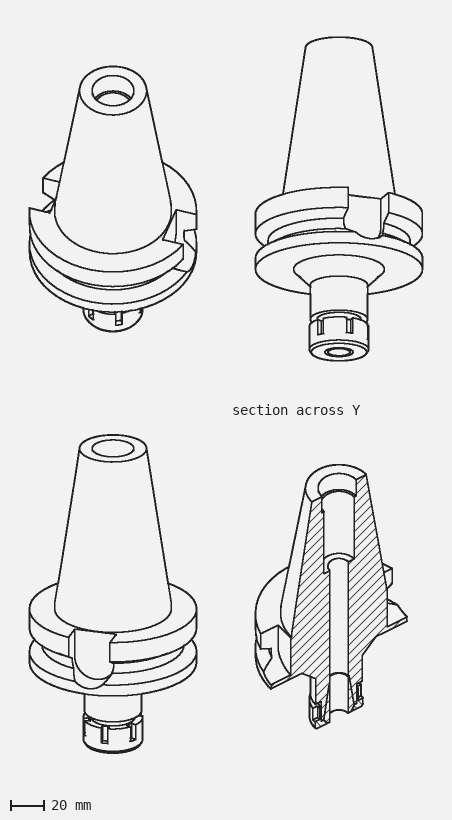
import cadquery as cq
import math

overall_height = 191.8

nut_diameter = 35.5
nut_height = 16.3
nut_chamfer_height = 1.7
nut_chamfer_width = 1.2
wrench_slot_count = 6
wrench_slot_width = 4.0
wrench_slot_height = 9.5
wrench_slot_depth = 3.5

nose_diameter = 26.3
nose_bottom = 4.5
neck_diameter = 34.3
neck_bottom = 20.7
neck_top = 42.2

flange_diameter = 100.0
flange_bottom = 52.2
flange_top = 87.0
groove_floor_diameter = 85.0
groove_bottom_edge = 59.3
groove_floor_bottom = 63.7
groove_floor_top = 70.2
groove_top_edge = 74.5

keyway_width = 25.9
keyway_bottom = 56.0
keyway_floor_offset = 35.5

gauge_diameter = 69.8
gauge_height = 90.0
taper_ratio = 7 / 24
taper_top_diameter = gauge_diameter - taper_ratio * (overall_height - gauge_height)

counterbore_diameter = 25.0
counterbore_depth = 13.5
stud_bore_diameter = 21.9
stud_bore_depth = 65.2
through_diameter = 13.2

collet_top = 30.7
collet_max_diameter = 21.9
collet_half_angle = 8.0
collet_front_half_angle = 30.0
collet_top_radius = (
    collet_max_diameter / 2 - (collet_top - nose_bottom) * math.tan(math.radians(collet_half_angle))
)
collet_front_radius = collet_max_diameter / 2 - nose_bottom * math.tan(math.radians(collet_front_half_angle))


def revolve_profile(points):
    """Turn a closed (radius, height) outline about the Z axis."""
    return cq.Workplane("XZ").polyline(points).close().revolve(360, (0, 0, 0), (0, 1, 0))


def make_keyway(side):
    """Cutter for one round-bottomed keyway; side is -1 for -X and +1 for +X."""
    radius = keyway_width / 2
    centre_height = keyway_bottom + radius
    length = flange_diameter / 2 - keyway_floor_offset
    return (
        cq.Workplane("YZ", origin=(side * keyway_floor_offset, 0, 0))
        .moveTo(-radius, flange_top)
        .lineTo(-radius, centre_height)
        .threePointArc((0, keyway_bottom), (radius, centre_height))
        .lineTo(radius, flange_top)
        .close()
        .extrude(side * length)
    )


def make_holder():
    nose_radius = nose_diameter / 2
    neck_radius = neck_diameter / 2
    flange_radius = flange_diameter / 2
    groove_radius = groove_floor_diameter / 2
    gauge_radius = gauge_diameter / 2
    counterbore_radius = counterbore_diameter / 2
    stud_bore_radius = stud_bore_diameter / 2
    through_radius = through_diameter / 2
    counterbore_floor = overall_height - counterbore_depth
    stud_bore_floor = overall_height - stud_bore_depth
    flare_radius = neck_radius + flange_bottom - neck_top

    outside = [
        (nose_radius, nose_bottom),
        (nose_radius, neck_bottom),
        (neck_radius, neck_bottom),
        (neck_radius, neck_top),
        (flare_radius, flange_bottom),
        (flange_radius, flange_bottom),
        (flange_radius, groove_bottom_edge),
        (groove_radius, groove_floor_bottom),
        (groove_radius, groove_floor_top),
        (flange_radius, groove_top_edge),
        (flange_radius, flange_top),
        (gauge_radius, flange_top),
        (gauge_radius, gauge_height),
        (taper_top_diameter / 2, overall_height),
    ]
    inside = [
        (counterbore_radius, overall_height),
        (counterbore_radius, counterbore_floor),
        (stud_bore_radius, counterbore_floor),
        (stud_bore_radius, stud_bore_floor),
        (through_radius, stud_bore_floor),
        (through_radius, collet_top),
        (collet_top_radius, collet_top),
        (collet_max_diameter / 2, nose_bottom),
    ]
    body = revolve_profile(outside + inside)
    for side in (-1, 1):
        body = body.cut(make_keyway(side))
    return body


def make_nut():
    nut_radius = nut_diameter / 2
    body = revolve_profile([
        (collet_front_radius, 0),
        (nut_radius - nut_chamfer_width, 0),
        (nut_radius, nut_chamfer_height),
        (nut_radius, nut_height),
        (nose_diameter / 2, nut_height),
        (nose_diameter / 2, nose_bottom),
        (collet_max_diameter / 2, nose_bottom),
    ])
    slot = cq.Workplane("XY").box(
        wrench_slot_depth, wrench_slot_width, wrench_slot_height, centered=(False, True, False)
    ).translate((nut_radius - wrench_slot_depth, 0, nut_height - wrench_slot_height))
    for index in range(wrench_slot_count):
        angle = index * 360 / wrench_slot_count
        body = body.cut(slot.rotate((0, 0, 0), (0, 0, 1), angle))
    return body


def make_collet():
    through_radius = through_diameter / 2
    return revolve_profile([
        (through_radius, 0),
        (collet_front_radius, 0),
        (collet_max_diameter / 2, nose_bottom),
        (collet_top_radius, collet_top),
        (through_radius, collet_top),
    ])


holder = make_holder()
nut = make_nut()
collet = make_collet()

result = cq.Compound.makeCompound([holder.val(), nut.val(), collet.val()])